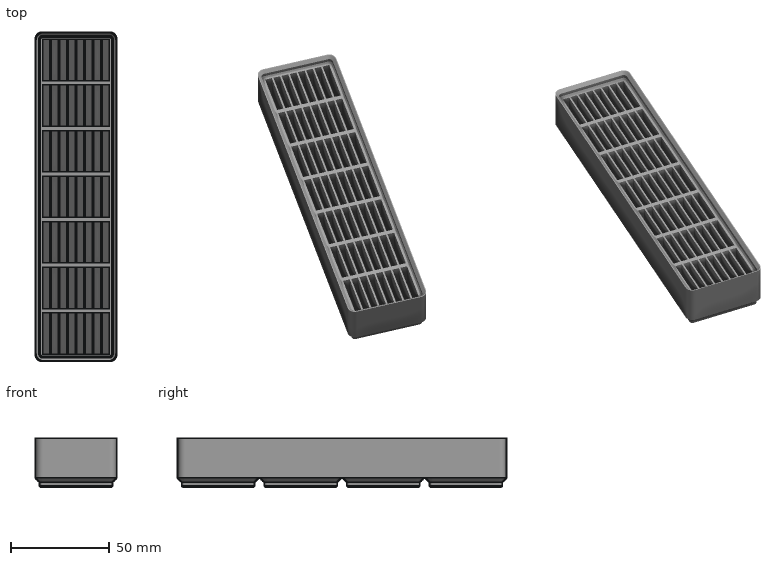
import cadquery as cq

CELL_PITCH = 42.0
CELLS_LONG = 4
CLEARANCE = 0.5

BODY_WIDTH = CELL_PITCH - CLEARANCE
BODY_LENGTH = CELLS_LONG * CELL_PITCH - CLEARANCE
DECK_HEIGHT = 21.0
BODY_RADIUS = 3.75
TOTAL_HEIGHT = 25.0

FOOT_LOWER_CHAMFER = 0.8
FOOT_STRAIGHT = 1.8
FOOT_UPPER_CHAMFER = 2.15
FOOT_HEIGHT = FOOT_LOWER_CHAMFER + FOOT_STRAIGHT + FOOT_UPPER_CHAMFER

LIP_LOWER_CHAMFER = 0.7
LIP_STRAIGHT = 1.8
LIP_RIM = 0.4
LIP_UPPER_CHAMFER = TOTAL_HEIGHT - DECK_HEIGHT - LIP_LOWER_CHAMFER - LIP_STRAIGHT

SLOT_COLUMNS = 8
SLOT_ROWS = 7
SLOT_WIDTH = 3.5
SLOT_LENGTH = 21.0
SLOT_GAP_X = 0.85
SLOT_GAP_Y = 2.18
SLOT_FLOOR = 7.0


def rounded_outline(size_x, size_y, inset, height):
    """Rounded rectangle at a height, shrunk by an inset on every side."""
    return (
        cq.Sketch()
        .rect(size_x - 2 * inset, size_y - 2 * inset)
        .vertices()
        .fillet(BODY_RADIUS - inset)
        .moved(cq.Location(cq.Vector(0, 0, height)))
    )


def stepped_block(size_x, size_y, profile):
    """Rounded block lofted through the (inset, height) steps of its side profile."""
    block = cq.Workplane("XY")
    for (lower_inset, lower_z), (upper_inset, upper_z) in zip(profile, profile[1:]):
        lower = rounded_outline(size_x, size_y, lower_inset, lower_z)
        upper = rounded_outline(size_x, size_y, upper_inset, upper_z)
        block = block.add(cq.Workplane("XY").placeSketch(lower, upper).loft(ruled=True))
    return block.combine()


def foot():
    """One foot that locates the bin in a grid cell."""
    straight_bottom = FOOT_LOWER_CHAMFER
    straight_top = FOOT_LOWER_CHAMFER + FOOT_STRAIGHT
    profile = [
        (FOOT_UPPER_CHAMFER + FOOT_LOWER_CHAMFER, 0),
        (FOOT_UPPER_CHAMFER, straight_bottom),
        (FOOT_UPPER_CHAMFER, straight_top),
        (0, FOOT_HEIGHT),
    ]
    return stepped_block(BODY_WIDTH, BODY_WIDTH, profile)


def body():
    """Outer body from the top of the feet to the rim."""
    return stepped_block(BODY_WIDTH, BODY_LENGTH, [(0, FOOT_HEIGHT), (0, TOTAL_HEIGHT)])


def lip_recess():
    """Recess above the deck that leaves the stacking lip standing around it."""
    straight_inset = LIP_RIM + LIP_UPPER_CHAMFER
    straight_bottom = DECK_HEIGHT + LIP_LOWER_CHAMFER
    profile = [
        (straight_inset + LIP_LOWER_CHAMFER, DECK_HEIGHT),
        (straight_inset, straight_bottom),
        (straight_inset, straight_bottom + LIP_STRAIGHT),
        (LIP_RIM, TOTAL_HEIGHT),
    ]
    return stepped_block(BODY_WIDTH, BODY_LENGTH, profile)


def slots():
    """Grid of rectangular storage slots sunk from the deck."""
    return (
        cq.Workplane("XY", origin=(0, 0, SLOT_FLOOR))
        .rarray(SLOT_WIDTH + SLOT_GAP_X, SLOT_LENGTH + SLOT_GAP_Y, SLOT_COLUMNS, SLOT_ROWS)
        .rect(SLOT_WIDTH, SLOT_LENGTH)
        .extrude(DECK_HEIGHT - SLOT_FLOOR)
    )


bin_block = body()
first_foot_y = -(CELLS_LONG - 1) / 2 * CELL_PITCH
for cell in range(CELLS_LONG):
    bin_block = bin_block.union(foot().translate((0, first_foot_y + cell * CELL_PITCH, 0)))

result = bin_block.cut(lip_recess()).cut(slots())